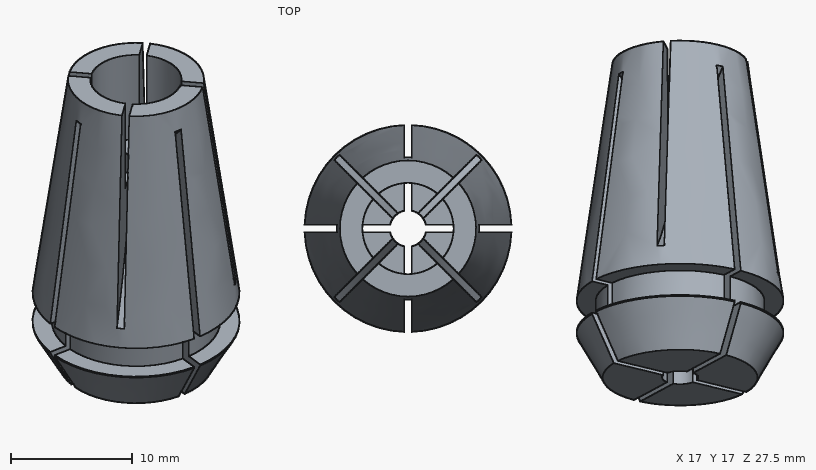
import cadquery as cq

height = 27.5
max_radius = 8.5
top_radius = 5.58
base_radius = 6.35
neck_radius = 6.93
rim_bottom_z = 3.88
neck_bottom_z = 4.0
neck_top_z = 6.75

grip_radius = 1.48
clearance_radius = 3.75
clearance_bottom_z = 19.25

slot_width = 0.6
blade_radius = 29.15
blade_offset = 27.15
top_blade_z = 30.65
bottom_blade_z = 5.65
slots_per_end = 4
slot_spacing = 360 / slots_per_end
seam_angle = slot_spacing / 4


def make_body():
    """Long main taper, retaining groove and short base taper."""
    profile = [
        (0, 0),
        (base_radius, 0),
        (max_radius, rim_bottom_z),
        (max_radius, neck_bottom_z),
        (neck_radius, neck_bottom_z),
        (neck_radius, neck_top_z),
        (max_radius, neck_top_z),
        (top_radius, height),
        (0, height),
    ]
    return cq.Workplane("XZ").polyline(profile).close().revolve(360, (0, 0), (0, 1))


def make_bore():
    """Narrow gripping bore opening into a wide clearance bore at the top."""
    grip = cq.Workplane("XY").circle(grip_radius).extrude(height)
    clearance = (
        cq.Workplane("XY", origin=(0, 0, clearance_bottom_z))
        .circle(clearance_radius)
        .extrude(height - clearance_bottom_z)
    )
    return grip.union(clearance)


def make_blade(center_z):
    """Upright disc whose curved rim forms the inner end of a slot."""
    return (
        cq.Workplane("XZ")
        .center(blade_offset, center_z)
        .circle(blade_radius)
        .extrude(slot_width / 2, both=True)
    )


def cut_slots(body, center_z, first_angle):
    """Cut one set of evenly spaced radial slots."""
    blade = make_blade(center_z)
    for index in range(slots_per_end):
        angle = first_angle + index * slot_spacing
        body = body.cut(blade.rotate((0, 0, 0), (0, 0, 1), angle))
    return body


result = make_body().cut(make_bore()).rotate((0, 0, 0), (0, 0, 1), seam_angle)
result = cut_slots(result, bottom_blade_z, 0)
result = cut_slots(result, top_blade_z, slot_spacing / 2)